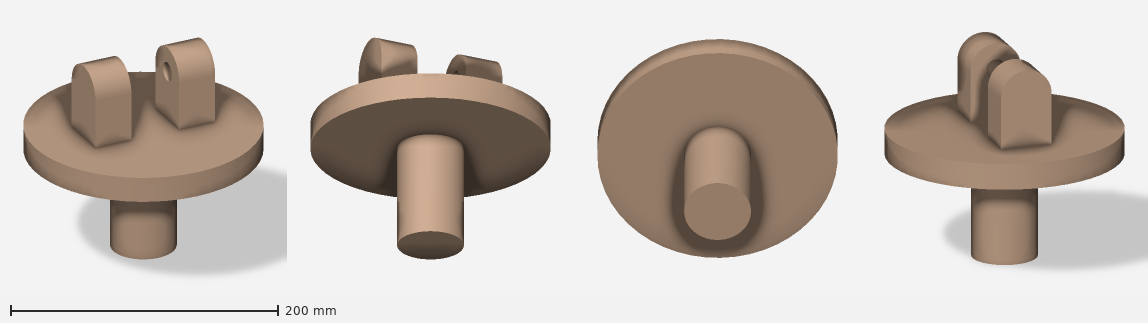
import cadquery as cq

flange_diameter = 180.0
flange_thickness = 20.0
shaft_diameter = 50.0
shaft_length = 80.0

lug_width = 40.0
lug_thickness = 30.0
lug_gap = 40.0

bore_height = 40.0
bore_diameter = 15.0
bore_end_wall = 0.5

lug_radius = lug_width / 2
lug_inner_y = lug_gap / 2
lug_outer_y = lug_inner_y + lug_thickness
flange_top = shaft_length + flange_thickness


def make_base():
    """Round flange on top of a plain shaft that stands on Z = 0."""
    shaft = cq.Workplane("XY").circle(shaft_diameter / 2).extrude(shaft_length)
    flange = (
        cq.Workplane("XY", origin=(0, 0, shaft_length))
        .circle(flange_diameter / 2)
        .extrude(flange_thickness)
    )
    return shaft.union(flange)


def make_lug(back_y):
    """Lug with a half-round top, running from back_y toward -Y."""
    return (
        cq.Workplane("XZ", origin=(0, back_y, flange_top))
        .moveTo(-lug_radius, 0)
        .lineTo(lug_radius, 0)
        .lineTo(lug_radius, bore_height)
        .threePointArc((0, bore_height + lug_radius), (-lug_radius, bore_height))
        .close()
        .extrude(lug_thickness)
    )


def make_bore():
    """Bore shared by both lugs, stopping just short of their outer faces."""
    half_length = lug_outer_y - bore_end_wall
    return (
        cq.Workplane("XZ", origin=(0, 0, flange_top + bore_height))
        .circle(bore_diameter / 2)
        .extrude(half_length, both=True)
    )


result = make_base()
for back_y in (lug_outer_y, -lug_inner_y):
    result = result.union(make_lug(back_y))
result = result.cut(make_bore())